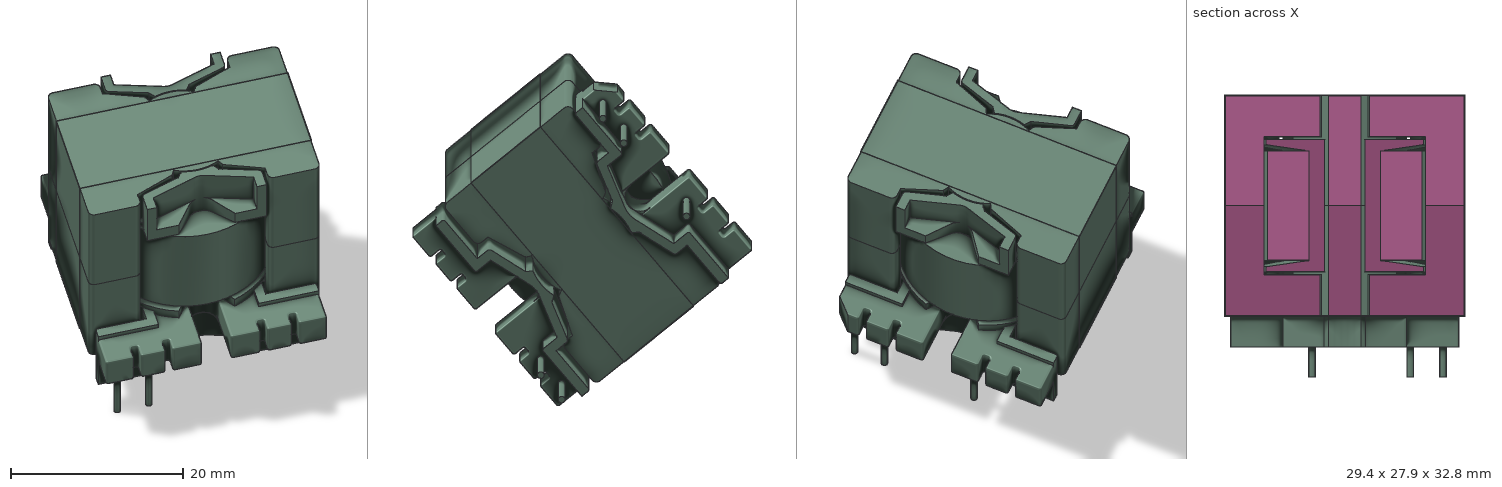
import cadquery as cq
import math


core_half_width = 9.5
core_half_length = 13.9
core_half_height = 12.78
core_corner_radius = 0.7
window_depth = 8.0
window_radius = 10.97
post_radius = 6.03
leg_inner_y = 7.65
waist_tip_y = 2.7
waist_tip_x = (post_radius**2 - waist_tip_y**2) ** 0.5
waist_side = [(-7.85, leg_inner_y), (-6.05, 3.05), (-waist_tip_x, waist_tip_y)]

tape_half_width = 5.25
tape_thickness = 0.05

winding_radius = 10.65
winding_half_height = 6.35

bore_radius = 6.15
barrel_radius = 7.05
flange_radius = 10.8
flange_rim_inner = 7.08
flange_rim_outer = 7.7
shelf_height = 8.7

wall_outer_x = 10.32
wall_outer_y = 7.17
wall_corner_radius = 0.43
wall_bend = (6.6, 2.42)
wall_tip = (5.85, 1.9)
pocket_half_width = 6.03
pocket_corner_x = 8.8
pocket_apex_x = 6.9
pocket_slant = (pocket_corner_x - pocket_apex_x) / pocket_half_width
pocket_mouth_x = 13.1
lower_apex_radius = 3.18

gap_radius = 1.77
gap_centre_x = -pocket_apex_x - gap_radius * math.hypot(1, pocket_slant)
notch_half_angle = math.radians(37)

foot_bottom = -16.4
rail_top = -flange_rim_outer
rail_outer_x = 11.07
rail_inner_x = 9.9
rail_corner_radius = 0.25
foot_outer_y = 13.27
platform_outer_x = 14.693
platform_top = -8.3
platform_bottom = -12.25
platform_rounding = 0.25
key_chamfer = 1.95

pin_pitch = 3.8
pin_radius = 0.4
pin_x = 12.58
pin_tip = core_half_height + tape_thickness - 32.75
slot_width = 0.92
slot_end_x = 13.1
slot_ys = (1.5 * pin_pitch, 2.5 * pin_pitch)
left_pin_ys = (-pin_pitch, 2 * pin_pitch, 3 * pin_pitch)
right_pin_ys = (-2 * pin_pitch, -3 * pin_pitch)


def prism(points, bottom, top):
    """Straight-sided solid on a closed plan outline, between two heights."""
    return cq.Workplane("XY").workplane(offset=bottom).polyline(points).close().extrude(top - bottom)


def block(x_range, y_range, z_range):
    """Rectangular block between pairs of coordinates."""
    (x0, x1), (y0, y1) = x_range, y_range
    return prism([(x0, y0), (x1, y0), (x1, y1), (x0, y1)], *z_range)


def cylinder(radius, bottom, top):
    """Cylinder on the Z axis between two heights."""
    return cq.Workplane("XY").workplane(offset=bottom).circle(radius).extrude(top - bottom)


def both_y(points):
    """Outline points followed by their mirror images in Y, in reverse order."""
    return points + [(x, -y) for x, y in reversed(points)]


def core_plan(height):
    """Core blank with rounded outer corners, before the waist and window are cut."""
    blank = block(
        (-core_half_width, core_half_width), (-core_half_length, core_half_length), (0, height)
    )
    return blank.edges("|Z").fillet(core_corner_radius)


def core_waist(height):
    """Recess at the -X side of the core, reaching in to the centre post."""
    rounding = core_corner_radius
    mouth_x = -core_half_width
    bevel = rounding * (1 - 0.5**0.5)
    waist = (
        cq.Workplane("XY")
        .moveTo(mouth_x, -leg_inner_y - rounding)
        .lineTo(mouth_x, leg_inner_y + rounding)
        .threePointArc((mouth_x + bevel, leg_inner_y + bevel), (mouth_x + rounding, leg_inner_y))
        .polyline(waist_side, includeCurrent=True)
        .threePointArc((-post_radius, 0), (waist_side[-1][0], -waist_side[-1][1]))
        .polyline([(x, -y) for x, y in reversed(waist_side[:-1])], includeCurrent=True)
        .lineTo(mouth_x + rounding, -leg_inner_y)
        .threePointArc((mouth_x + bevel, -leg_inner_y - bevel), (mouth_x, -leg_inner_y - rounding))
        .close()
    )
    return waist.extrude(height)


def upper_core_half():
    """Waisted core half, opening downwards."""
    body = core_plan(core_half_height).cut(cylinder(window_radius, 0, window_depth))
    waist = core_waist(core_half_height)
    body = body.cut(waist).cut(waist.mirror("YZ"))
    return body.union(cylinder(post_radius, 0, core_half_height))


def tape_band():
    """Thin closed band round the joined core halves."""
    widths = (-tape_half_width, tape_half_width)
    outer_y = core_half_length + tape_thickness
    outer_z = core_half_height + tape_thickness
    band = block(widths, (-outer_y, outer_y), (-outer_z, outer_z))
    core_space = block(
        widths, (-core_half_length, core_half_length), (-core_half_height, core_half_height)
    )
    return band.cut(core_space)


def winding_ring():
    """Coil filling the barrel between the flanges."""
    solid = cylinder(winding_radius, -winding_half_height, winding_half_height)
    return solid.cut(cylinder(barrel_radius, -winding_half_height, winding_half_height))


def wall_outline():
    """Plan of the -X end wall and its shelf, before the pocket and the bore."""
    return both_y([(-wall_outer_x, wall_outer_y), wall_shoulder(), (-wall_bend[0], wall_bend[1]),
                   (-wall_tip[0], wall_tip[1])])


def wall_shoulder():
    """Point where the slanted wall, parallel to its pocket, meets the straight wall."""
    return (-wall_bend[0] - pocket_slant * (wall_outer_y - wall_bend[1]), wall_outer_y)


def end_wall(bottom, top):
    """Solid block at the -X side from which one folded wall is cut."""
    wall = prism(wall_outline(), bottom, top)
    shoulder_x = wall_shoulder()[0]
    shoulder_edges = wall.edges("|Z").edges(
        cq.selectors.BoxSelector(
            (shoulder_x - 0.03, -wall_outer_y - 0.03, bottom), (shoulder_x + 0.03, wall_outer_y + 0.03, top)
        )
    )
    return shoulder_edges.fillet(wall_corner_radius)


def wall_pocket(bottom, top):
    """Space outside the folded wall at the -X side, with a sharp inner end."""
    corners = both_y([(-pocket_mouth_x, pocket_half_width), (-pocket_corner_x, pocket_half_width)])
    corners.insert(2, (-pocket_apex_x, 0))
    return prism(corners, bottom, top)


def rounded_pocket(bottom, top, apex_radius):
    """Space outside the folded wall, with a round inner end."""
    return wall_pocket(bottom, top).edges("|Z and >X").fillet(apex_radius)


def gap_end(bottom, top):
    """Round inner end shared by the platform gap and the flange notches, at the -X side."""
    return cylinder(gap_radius, bottom, top).translate((gap_centre_x, 0, 0))


def flange_notch(bottom, top):
    """Widening part of a flange notch at the -X side, with sides tangent to its round end."""
    tangent_x = gap_centre_x + gap_radius * math.sin(notch_half_angle)
    tangent_y = gap_radius * math.cos(notch_half_angle)
    mouth_y = tangent_y + (tangent_x + pocket_mouth_x) * math.tan(notch_half_angle)
    return prism(both_y([(-pocket_mouth_x, mouth_y), (tangent_x, tangent_y)]), bottom, top)


def flange():
    """Upper flange disc, coned on the side that faces the winding."""
    section = [
        (bore_radius, winding_half_height),
        (barrel_radius, winding_half_height),
        (flange_radius, flange_rim_inner),
        (flange_radius, flange_rim_outer),
        (bore_radius, flange_rim_outer),
    ]
    return cq.Workplane("XZ").polyline(section).close().revolve(360, (0, 0), (0, 1))


def upper_end_side():
    """Folded wall at the -X side of the upper flange, standing on a square shelf."""
    wall = end_wall(flange_rim_inner, core_half_height)
    return wall.cut(rounded_pocket(shelf_height, core_half_height, gap_radius))


def lower_end_side():
    """Folded wall at the -X side below the lower flange, with its round shelf and the web of its gap."""
    wall = end_wall(foot_bottom, rail_top)
    wall = wall.cut(rounded_pocket(foot_bottom, platform_bottom, lower_apex_radius))
    wall = wall.cut(wall_pocket(platform_bottom, rail_top))

    shelf = cylinder(flange_radius, -shelf_height, -flange_rim_inner)
    shelf = shelf.intersect(wall_pocket(-shelf_height, -flange_rim_inner))

    web_heights = (platform_bottom, -shelf_height)
    web = block((gap_centre_x, -wall_bend[0]), (-gap_radius, gap_radius), web_heights)
    return wall.union(web).union(shelf)


def rail_section(bottom, top):
    """Stretch of the L-shaped foot rail at the -X, +Y corner."""
    outline = [
        (-rail_outer_x, pocket_half_width),
        (-pocket_corner_x, pocket_half_width),
        (-pocket_corner_x, wall_outer_y),
        (-rail_inner_x, wall_outer_y),
        (-rail_inner_x, foot_outer_y),
        (-rail_outer_x, foot_outer_y),
    ]
    end_corner = cq.selectors.NearestToPointSelector((-rail_inner_x, foot_outer_y, (bottom + top) / 2))
    return prism(outline, bottom, top).edges(end_corner).fillet(rail_corner_radius)


def rail():
    """Foot rail whose outer bend is rounded below the platform."""
    lower = rail_section(foot_bottom, platform_bottom)
    lower = lower.edges("|Z and <X and <Y").fillet(rail_corner_radius)
    return lower.union(rail_section(platform_bottom, rail_top))


def platform(keyed):
    """Pin platform at the -X, +Y corner, with two wire slots and rounded edges."""
    heights = (platform_bottom, platform_top)
    solid = block((-platform_outer_x, 0), (gap_radius, foot_outer_y), heights)
    for y in slot_ys:
        slot = block((-platform_outer_x, -slot_end_x), (y - slot_width / 2, y + slot_width / 2), heights)
        solid = solid.cut(slot)
    solid = solid.edges("|Z and (not >X)").fillet(platform_rounding)
    solid = solid.faces("<Z or >Z").edges("not >X").fillet(platform_rounding)
    if keyed:
        corner = [
            (-platform_outer_x, foot_outer_y),
            (-platform_outer_x + key_chamfer, foot_outer_y),
            (-platform_outer_x, foot_outer_y - key_chamfer),
        ]
        solid = solid.cut(prism(corner, *heights))

    over_rail = block((-platform_outer_x, -wall_outer_x), (0, foot_outer_y), heights)
    over_wall = wall_pocket(*heights)
    return solid.intersect(over_rail.union(over_wall))


def pin(x, y):
    """Round pin hanging from the underside of a platform."""
    return cylinder(pin_radius, pin_tip, platform_bottom + platform_rounding).translate((x, y, 0))


def at_both_sides(body):
    """A -X feature together with its half-turn copy at the +X side."""
    return [body, body.rotate((0, 0, 0), (0, 0, 1), 180)]


def bobbin_body():
    """Barrel, both flanged ends, the feet and their moulded-in pins."""
    body = cylinder(barrel_radius, -winding_half_height, winding_half_height)
    body = body.union(flange()).union(flange().mirror("XY"))
    for side in at_both_sides(upper_end_side()) + at_both_sides(lower_end_side()):
        body = body.union(side)
    for gap in at_both_sides(gap_end(platform_bottom, shelf_height)):
        body = body.cut(gap)
    for notch in at_both_sides(flange_notch(-shelf_height, shelf_height)):
        body = body.cut(notch)

    for x_side in (-1, 1):
        for y_side in (-1, 1):
            foot = rail().union(platform(keyed=(x_side, y_side) == (-1, 1)))
            if x_side == 1:
                foot = foot.mirror("YZ")
            if y_side == -1:
                foot = foot.mirror("XZ")
            body = body.union(foot)

    for y in left_pin_ys:
        body = body.union(pin(-pin_x, y))
    for y in right_pin_ys:
        body = body.union(pin(pin_x, y))
    return body.cut(cylinder(bore_radius, foot_bottom, core_half_height))


upper_core = upper_core_half()
lower_core = upper_core.mirror("XY")
tape = tape_band()
winding = winding_ring()
bobbin = bobbin_body()

result = cq.Compound.makeCompound(
    [upper_core.val(), lower_core.val(), tape.val(), winding.val(), bobbin.val()]
)